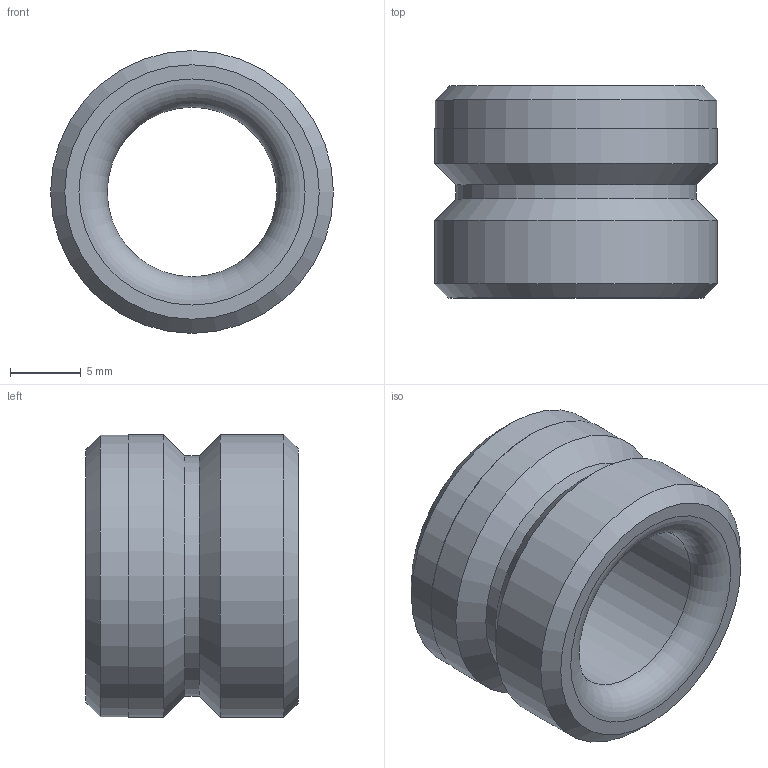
import cadquery as cq


body_radius = 20.0 / 2
rear_land_radius = 19.9 / 2
groove_radius = 17.0 / 2
bore_radius = 12.0 / 2
bore_mouth_fillet = 2.0

length = 15.0
end_chamfer = 1.0
rear_land_length = 3.0
groove_center = length / 2
groove_floor_width = 1.0

groove_depth = body_radius - groove_radius
floor_front = groove_center - groove_floor_width / 2
floor_rear = groove_center + groove_floor_width / 2
rear_land_start = length - rear_land_length


def bushing_body():
    """Revolve the outer profile, (radius, Y), into a solid body with its groove and end chamfers."""
    profile = [
        (0, 0),
        (body_radius - end_chamfer, 0),
        (body_radius, end_chamfer),
        (body_radius, floor_front - groove_depth),
        (groove_radius, floor_front),
        (groove_radius, floor_rear),
        (body_radius, floor_rear + groove_depth),
        (body_radius, rear_land_start),
        (rear_land_radius, rear_land_start),
        (rear_land_radius, length - end_chamfer),
        (rear_land_radius - end_chamfer, length),
        (0, length),
    ]
    return cq.Workplane("XY").polyline(profile).close().revolve(360, (0, 0, 0), (0, 1, 0))


def cut_bore(body):
    """Cut the through bore and round its front mouth."""
    bored = body.faces(">Y").workplane(origin=(0, length, 0)).circle(bore_radius).cutThruAll()
    smallest_circle = cq.selectors.RadiusNthSelector(0)
    return bored.faces("<Y").edges(smallest_circle).fillet(bore_mouth_fillet)


result = cut_bore(bushing_body())